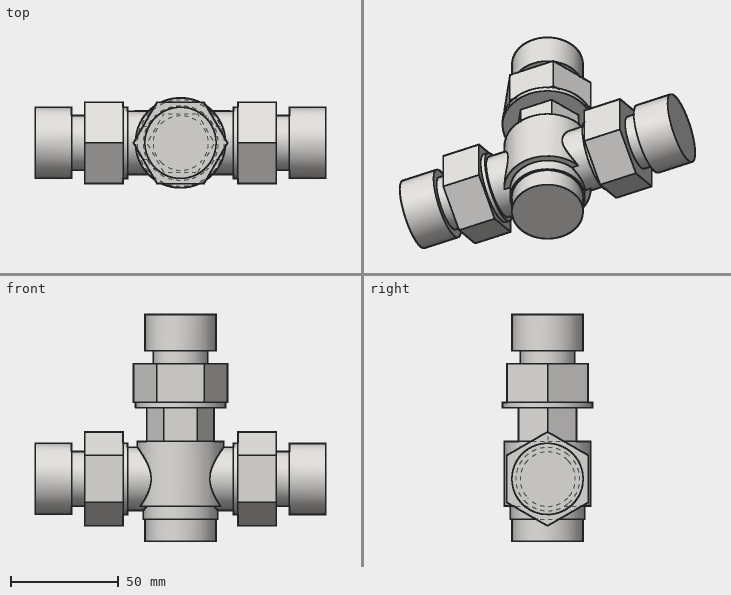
import cadquery as cq
import math

half_run = 67.5
branch_top = 76.4
body_bottom = -29.0

cap_diameter = 33.1
cap_length = 17.0
neck_diameter = 25.5
neck_length = 6.0
nut_flats = 37.8
nut_length = 18.0
fitting_length = cap_length + neck_length + nut_length

arm_diameter = 29.5
arm_collar_diameter = 33.2
arm_collar_length = 2.0

body_diameter = 40.2
body_top = 17.4
body_shoulder = -12.7
step_diameter = 34.7
step_bottom = -18.8
base_diameter = 33.1

stem_flats = 27.1
flange_diameter = 41.8
flange_thickness = 2.5


def cylinder(diameter, start, end):
    """Cylinder on the Z axis between two heights."""
    return cq.Workplane("XY").workplane(offset=start).circle(diameter / 2).extrude(end - start)


def hexagon(flats, start, end):
    """Hexagonal prism on the Z axis with two corners on the X axis."""
    corners = flats / math.cos(math.pi / 6)
    return cq.Workplane("XY").workplane(offset=start).polygon(6, corners).extrude(end - start)


def end_fitting(end):
    """Nut, neck and cap stacked up to the given end height."""
    cap_start = end - cap_length
    neck_start = cap_start - neck_length
    nut = hexagon(nut_flats, end - fitting_length, neck_start)
    neck = cylinder(neck_diameter, neck_start, cap_start)
    cap = cylinder(cap_diameter, cap_start, end)
    return nut.union(neck).union(cap)


def run_arm(tilt):
    """Arm built along Z, then tilted about Y onto the run axis."""
    nut_start = half_run - fitting_length
    pipe = cylinder(arm_diameter, 0, nut_start)
    collar = cylinder(arm_collar_diameter, nut_start - arm_collar_length, nut_start)
    arm = pipe.union(collar).union(end_fitting(half_run))
    return arm.rotate((0, 0, 0), (0, 1, 0), tilt)


def central_body():
    """Main barrel with a stepped base below it."""
    barrel = cylinder(body_diameter, body_shoulder, body_top)
    step = cylinder(step_diameter, step_bottom, body_shoulder)
    base = cylinder(base_diameter, body_bottom, step_bottom)
    return barrel.union(step).union(base)


def branch():
    """Hexagonal stem, flange and end fitting above the body."""
    flange_top = branch_top - fitting_length
    flange_bottom = flange_top - flange_thickness
    stem = hexagon(stem_flats, body_top, flange_bottom)
    flange = cylinder(flange_diameter, flange_bottom, flange_top)
    return stem.union(flange).union(end_fitting(branch_top))


result = central_body().union(branch())
for tilt in (-90, 90):
    result = result.union(run_arm(tilt))